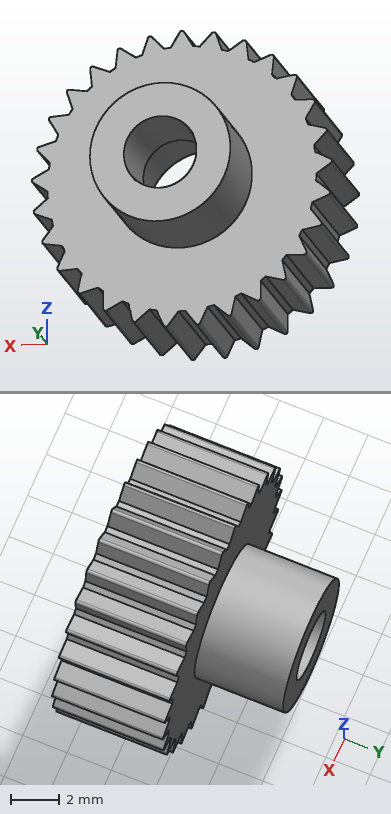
import cadquery as cq
import math

tooth_count = 29
overall_width = 12.82
tip_radius = 0.1
root_flat_radius = 5.74
root_flat_width = 0.28
wheel_width = 5.0

hub_diameter = 6.0
hub_length = 4.0

counterbore_diameter = 5.31
counterbore_depth = 3.5
bore_diameter = 3.1
cone_angle = 60.0

total_length = wheel_width + hub_length
front_y = -total_length / 2
back_y = total_length / 2
pitch_angle = 2 * math.pi / tooth_count
tip_centre_radius = (overall_width / 2 - tip_radius) / math.cos(pitch_angle / 4)
counterbore_radius = counterbore_diameter / 2
bore_radius = bore_diameter / 2
cone_depth = (counterbore_radius - bore_radius) / math.tan(math.radians(cone_angle / 2))

front_plane = cq.Plane(origin=(0, front_y, 0), xDir=(1, 0, 0), normal=(0, -1, 0))


def turned(point, angle):
    """Turn a point about the wheel axis, from +Z towards +X."""
    x, z = point
    return (
        x * math.cos(angle) + z * math.sin(angle),
        z * math.cos(angle) - x * math.sin(angle),
    )


def half_tooth():
    """Tip, tangent point and root corner on the +X side of a tooth that points along +Z."""
    tip = (0, tip_centre_radius + tip_radius)
    root = turned((-root_flat_width / 2, root_flat_radius), pitch_angle / 2)
    drop = tip_centre_radius - root[1]
    flank_angle = math.atan2(root[0], drop) - math.asin(tip_radius / math.hypot(root[0], drop))
    tangent = (
        tip_radius * math.cos(flank_angle),
        tip_centre_radius + tip_radius * math.sin(flank_angle),
    )
    return tip, tangent, root


def mirrored(point):
    return (-point[0], point[1])


def make_wheel():
    tip, tangent, root = half_tooth()
    outline = cq.Workplane(front_plane).moveTo(*mirrored(root))
    for tooth in range(tooth_count):
        angle = tooth * pitch_angle
        outline = (
            outline.lineTo(*turned(mirrored(tangent), angle))
            .threePointArc(turned(tip, angle), turned(tangent, angle))
            .lineTo(*turned(root, angle))
        )
        if tooth < tooth_count - 1:
            outline = outline.lineTo(*turned(mirrored(root), angle + pitch_angle))
    return outline.close().extrude(-wheel_width)


def make_hub():
    return cq.Workplane(front_plane).circle(hub_diameter / 2).extrude(-total_length)


def make_bore():
    """Wide bore at the toothed face, tapering to the through bore."""
    cone_start_y = front_y + counterbore_depth
    half_section = [
        (0, front_y),
        (counterbore_radius, front_y),
        (counterbore_radius, cone_start_y),
        (bore_radius, cone_start_y + cone_depth),
        (bore_radius, back_y),
        (0, back_y),
    ]
    return cq.Workplane("XY").polyline(half_section).close().revolve(360, (0, 0, 0), (0, 1, 0))


result = make_wheel().union(make_hub()).cut(make_bore())